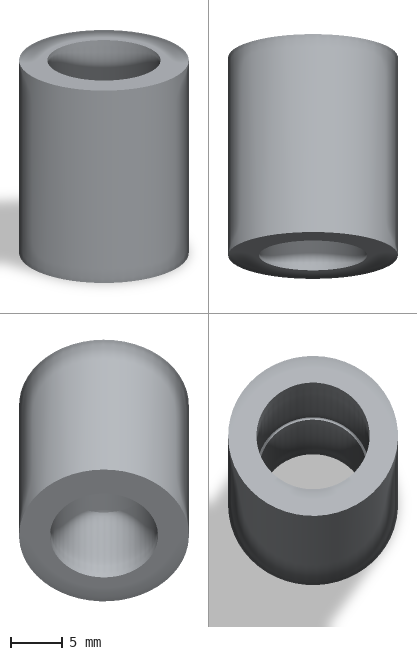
import cadquery as cq

length = 20.0
outer_diameter = 16.5

wide_bore_diameter = 11.0
narrow_bore_diameter = 10.5
wide_bore_depth = length / 2

sleeve = cq.Workplane("XY").circle(outer_diameter / 2).extrude(length)
bored_sleeve = sleeve.faces(">Z").workplane().cboreHole(
    narrow_bore_diameter, wide_bore_diameter, wide_bore_depth
)

result = bored_sleeve